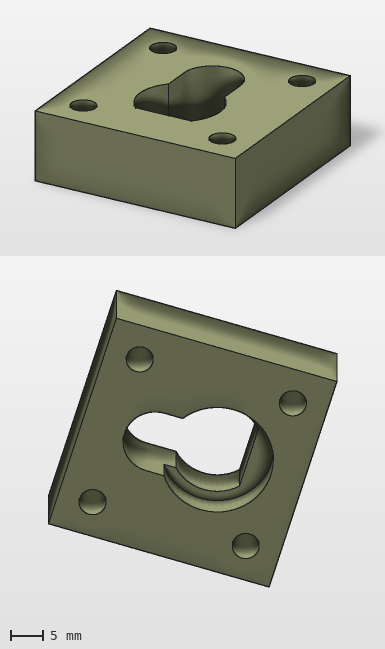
import cadquery as cq
import math

side = 36.0
thickness = 12.0

mount_hole_diameter = 4.2
mount_hole_spacing = 25.0

slot_width = 10.0
slot_end_y = 6.12
lobe_center_y = -4.0
lobe_radius = 7.2

pocket_radius = 8.75
lip_thickness = 7.1

slot_radius = slot_width / 2
lobe_half_chord = math.sqrt(lobe_radius**2 - slot_radius**2)
flat_y = lobe_center_y - lobe_half_chord
shoulder_y = lobe_center_y + lobe_half_chord


def keyhole_cutter():
    """Keyhole outline through the full thickness."""
    return (
        cq.Workplane("XY")
        .moveTo(-slot_radius, flat_y)
        .lineTo(slot_radius, flat_y)
        .threePointArc((lobe_radius, lobe_center_y), (slot_radius, shoulder_y))
        .lineTo(slot_radius, slot_end_y)
        .threePointArc((0, slot_end_y + slot_radius), (-slot_radius, slot_end_y))
        .lineTo(-slot_radius, shoulder_y)
        .threePointArc((-lobe_radius, lobe_center_y), (-slot_radius, flat_y))
        .close()
        .extrude(thickness)
    )


def pocket_cutter():
    """Blind round pocket opening on the bottom face."""
    return (
        cq.Workplane("XY")
        .center(0, lobe_center_y)
        .circle(pocket_radius)
        .extrude(thickness - lip_thickness)
    )


plate = (
    cq.Workplane("XY")
    .box(side, side, thickness, centered=(True, True, False))
    .faces(">Z")
    .workplane()
    .rect(mount_hole_spacing, mount_hole_spacing, forConstruction=True)
    .vertices()
    .hole(mount_hole_diameter)
)

result = plate.cut(keyhole_cutter()).cut(pocket_cutter())